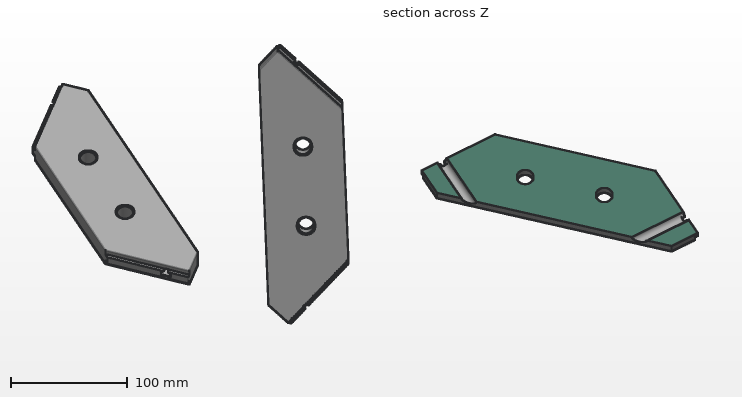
import cadquery as cq
import math

LEG_LENGTH = 173.24
THICKNESS = 18.0
BAND_WIDTH = 70.0
CENTRE_OFFSET = 150.0
EDGE_RADIUS = 0.55

TONGUE_HEIGHT = 8.2
TONGUE_DEPTH = 3.0

BOLT_DIAMETER = 14.0
BOLT_RIM_DIAMETER = 16.0
BOLT_SPACING = 70.0

CROSS_DIAMETER = 9.0
CROSS_FROM_END = 20.24

half_band = BAND_WIDTH / math.sqrt(2)
inner_sum = CENTRE_OFFSET - half_band
outer_sum = CENTRE_OFFSET + half_band
half_thickness = THICKNESS / 2


def band_plate(leg_face, thickness):
    """Six-sided plate centred on z = 0, with its leg faces at x and y = leg_face."""
    outline = [
        (leg_face, inner_sum - leg_face),
        (inner_sum - leg_face, leg_face),
        (LEG_LENGTH, leg_face),
        (LEG_LENGTH, outer_sum - LEG_LENGTH),
        (outer_sum - LEG_LENGTH, LEG_LENGTH),
        (leg_face, LEG_LENGTH),
    ]
    return cq.Workplane("XY").polyline(outline).close().extrude(thickness / 2, both=True)


def bolt_holes():
    """Two vertical through holes on the band's middle line, countersunk at both ends."""
    half_step = BOLT_SPACING / 2 / math.sqrt(2)
    middle = CENTRE_OFFSET / 2
    bore = BOLT_DIAMETER / 2
    rim = BOLT_RIM_DIAMETER / 2
    sink = rim - bore
    profile = [
        (0, -half_thickness),
        (rim, -half_thickness),
        (bore, sink - half_thickness),
        (bore, half_thickness - sink),
        (rim, half_thickness),
        (0, half_thickness),
    ]
    cutter = cq.Workplane("XZ").polyline(profile).close().revolve(360, (0, 0), (0, 1))
    first = cutter.translate((middle - half_step, middle + half_step, 0))
    second = cutter.translate((middle + half_step, middle - half_step, 0))
    return first.union(second)


def cross_holes():
    """Two horizontal holes, each from a leg face straight through to the long side."""
    position = LEG_LENGTH - CROSS_FROM_END
    radius = CROSS_DIAMETER / 2
    along_x = cq.Workplane("YZ").center(position, 0).circle(radius).extrude(LEG_LENGTH)
    along_y = cq.Workplane("XZ").center(position, 0).circle(radius).extrude(-LEG_LENGTH)
    return along_x.union(along_y)


def body():
    """Main plate, set back from the tongues, with rounded rims on both faces."""
    return band_plate(TONGUE_DEPTH, THICKNESS).faces("|Z").edges().fillet(EDGE_RADIUS)


def tongues():
    """Full-reach middle layer forming both tongues, with its two leg tips rounded."""
    layer = band_plate(0, TONGUE_HEIGHT)
    for tip in [(LEG_LENGTH, 0, 0), (0, LEG_LENGTH, 0)]:
        tip_edge = layer.edges(cq.selectors.NearestToPointSelector(tip))
        layer = tip_edge.fillet(EDGE_RADIUS)
    return layer


result = body().union(tongues()).cut(bolt_holes()).cut(cross_holes())